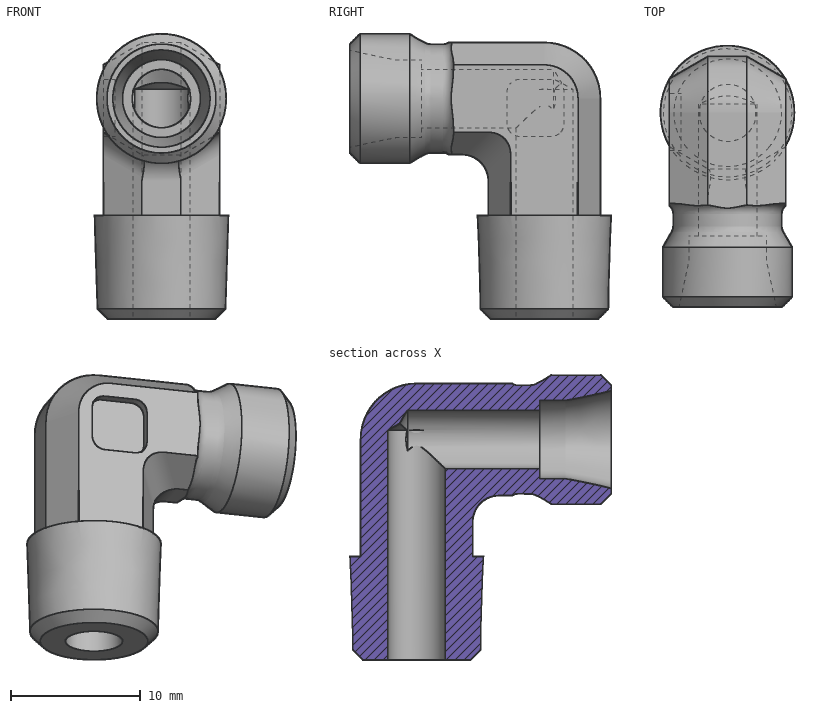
import cadquery as cq
import math


body_width = 9.0
body_flat = 3.0
body_inner_fillet = 2.0
corner_trim_height = 2.5

stud_end = 17.0
stud_length = 8.0
stud_large_dia = 10.34
stud_taper = 1 / 16
stud_chamfer = 0.8
stud_bore_dia = 4.4

socket_end = 15.0
socket_dia = 10.0
socket_chamfer = 0.8
socket_bore_dia = 4.5
groove_start = 7.0
groove_end = 9.0
groove_dia = 8.4
groove_fillet = 0.8
groove_flank_angle = math.radians(30)

tube_dia = 6.0
tube_seat_depth = 5.5
cone_mouth_dia = 7.5
cone_half_angle = math.radians(12)

drill_tip_half_angle = math.radians(59)
bore_overrun = 0.7

recess_size = 4.4
recess_corner = 1.0
recess_depth = 0.9
recess_offset = 0.7

half_width = body_width / 2
half_flat = body_flat / 2
facet_slope = math.tan(math.radians(30))
side_half = half_width * facet_slope
body_half = side_half + (half_width - half_flat) * facet_slope
stud_top = stud_end - stud_length
socket_radius = socket_dia / 2


def make_bent_bar(left_half, right_half):
    """Bar turning from -Z to -Y, whose half height goes from left_half at -X to right_half at +X.

    The outside of the bend is turned about the X axis; the inside corner is filleted.
    """
    upper = [(half_width, right_half), (-half_width, left_half)]
    section = upper + [(-half_width, -left_half), (half_width, -right_half)]
    half_section = upper + [(-half_width, 0), (half_width, 0)]
    down_leg = cq.Workplane("XY").polyline(section).close().extrude(-stud_end)
    front_leg = cq.Workplane("XZ").polyline(section).close().extrude(stud_end)
    bend = cq.Workplane("XY").polyline(half_section).close().revolve(90, (0, 0, 0), (1, 0, 0))
    middle_half = (left_half + right_half) / 2
    inner_corner = cq.selectors.NearestToPointSelector((0, -middle_half, -middle_half))
    return down_leg.union(front_leg).edges(inner_corner).fillet(body_inner_fillet).union(bend)


def make_body():
    """Elbow with a flat on its back and belly, sloping facets beside them and flat sides."""
    far_half = side_half + body_width * facet_slope
    elbow = make_bent_bar(body_half, body_half)
    elbow = elbow.intersect(make_bent_bar(far_half, side_half))
    elbow = elbow.intersect(make_bent_bar(side_half, far_half))
    limits = cq.Workplane("XY").box(
        body_width, groove_end + body_width, stud_top + body_width, centered=(True, False, False)
    )
    return elbow.intersect(limits.translate((0, -groove_end, -stud_top)))


def make_corner_trim():
    """Ring that trims the body corners to the stud diameter just above the stud."""
    ring = cq.Workplane("XY").workplane(offset=-stud_top).circle(body_width)
    return ring.circle(stud_large_dia / 2).extrude(corner_trim_height)


def turned(points, plane):
    """Solid of revolution from (radius, distance along axis) points."""
    return cq.Workplane(plane).polyline(points).close().revolve(360, (0, 0, 0), (0, 1, 0))


def make_stud():
    """Tapered thread envelope with a chamfered end."""
    large_radius = stud_large_dia / 2
    chamfer_top = -stud_end + stud_chamfer
    small_radius = large_radius - (stud_length - stud_chamfer) * stud_taper / 2
    points = [
        (0, -stud_end),
        (small_radius - stud_chamfer, -stud_end),
        (small_radius, chamfer_top),
        (large_radius, -stud_top),
        (0, -stud_top),
    ]
    return turned(points, "XZ")


def make_socket():
    """Socket collar with a chamfered end and a sloping flank down to the groove."""
    groove_radius = groove_dia / 2
    flank_end = groove_end + (socket_radius - groove_radius) / math.tan(groove_flank_angle)
    points = [
        (0, -socket_end),
        (socket_radius - socket_chamfer, -socket_end),
        (socket_radius, -socket_end + socket_chamfer),
        (socket_radius, -flank_end),
        (groove_radius, -groove_end),
        (groove_radius, -groove_start),
        (0, -groove_start),
    ]
    socket = turned(points, "XY")
    flank_root = cq.selectors.NearestToPointSelector((0, -groove_end, groove_radius))
    return socket.edges("%CIRCLE").edges(flank_root).fillet(groove_fillet)


def make_groove_cutter():
    """Ring that cuts the front leg back to the groove, rounded at its root."""
    root_radius = groove_dia / 2
    return (
        cq.Workplane("XY")
        .moveTo(root_radius, -groove_end)
        .lineTo(root_radius, -groove_start - groove_fillet)
        .radiusArc((root_radius + groove_fillet, -groove_start), groove_fillet)
        .lineTo(body_width, -groove_start)
        .lineTo(body_width, -groove_end)
        .close()
        .revolve(360, (0, 0, 0), (0, 1, 0))
    )


def drilled_bore(plane, diameter, start, end):
    """Drilled bore with a conical tip beyond its full-diameter end."""
    radius = diameter / 2
    tip = end + radius / math.tan(drill_tip_half_angle)
    return turned([(0, -start), (radius, -start), (radius, end), (0, tip)], plane)


def make_tube_seat():
    """Conical mouth running into the straight tube seat."""
    mouth_radius = cone_mouth_dia / 2
    tube_radius = tube_dia / 2
    cone_end = -socket_end + (mouth_radius - tube_radius) / math.tan(cone_half_angle)
    seat = -socket_end + tube_seat_depth
    points = [
        (0, -socket_end),
        (mouth_radius, -socket_end),
        (tube_radius, cone_end),
        (tube_radius, seat),
        (0, seat),
    ]
    return turned(points, "XY")


def make_recess():
    """Rounded square recess in the -X face."""
    return (
        cq.Workplane("XY")
        .box(recess_depth, recess_size, recess_size, centered=(False, True, True))
        .edges("|X")
        .fillet(recess_corner)
        .translate((-half_width, -recess_offset, -recess_offset))
    )


result = (
    make_body()
    .cut(make_corner_trim())
    .cut(make_groove_cutter())
    .union(make_socket())
    .union(make_stud())
    .cut(drilled_bore("XZ", stud_bore_dia, stud_end, bore_overrun))
    .cut(drilled_bore("XY", socket_bore_dia, socket_end, bore_overrun))
    .cut(make_tube_seat())
    .cut(make_recess())
)